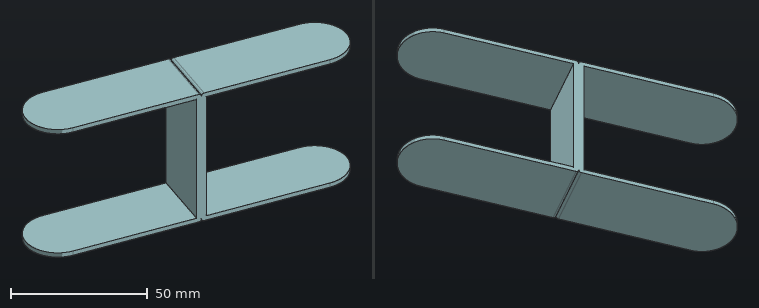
import cadquery as cq

length = 130.0
width = 26.0
height = 56.0
sheet = 2.0
web = 4.0
bend_radius = 1.0


def flange(bottom):
    """Flat strip with fully rounded ends, its lower face at height `bottom`."""
    return (
        cq.Workplane("XY", origin=(0, 0, bottom))
        .slot2D(length, width, angle=90)
        .extrude(sheet)
    )


def seam_groove(outer_face, inward):
    """Cusped groove left between the two rounded bends on an outer face."""
    depth = inward * bend_radius
    arc_side = bend_radius * (1 - 0.5**0.5)
    return (
        cq.Workplane("YZ", origin=(0, 0, outer_face))
        .moveTo(-bend_radius, 0)
        .threePointArc((-arc_side, inward * arc_side), (0, depth))
        .threePointArc((arc_side, inward * arc_side), (bend_radius, 0))
        .close()
        .extrude(width / 2, both=True)
    )


body = cq.Workplane("XY").box(width, web, height)
body = body.union(flange(height / 2 - sheet))
body = body.union(flange(-height / 2))

for side in (1, -1):
    body = body.cut(seam_groove(side * height / 2, -side))

result = body